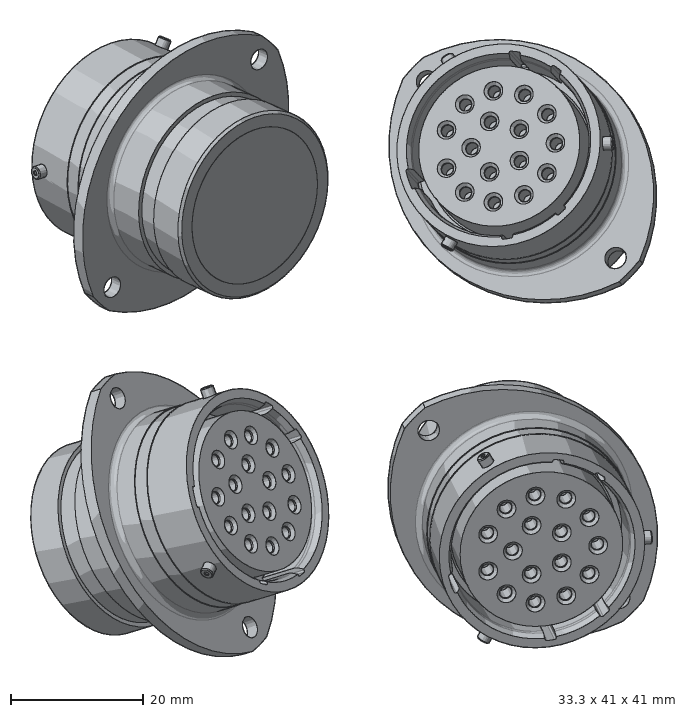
import cadquery as cq
import math


shell_length = 33.32
front_radius = 15.75
band_start = 8.15
band_end = 10.7
band_depth = 0.12
flange_start = 15.23
flange_thickness = 2.1
flange_end = flange_start + flange_thickness
front_fillet = 0.9
rear_radius = 14.95
rear_fillet = 0.75
rear_groove_start = 23.8
rear_groove_end = 27.3
rear_groove_depth = 0.65
rear_chamfer = 0.4

flange_half_height = 20.5
flange_arc_offset = 4.9
flange_arc_radius = flange_half_height + flange_arc_offset
flange_tip_radius = 23.8
mount_offset = 14.6
mount_hole_diameter = 3.3

mouth_radius = 14.3
lip_radius = 13.8
bore_radius = 13.7
mouth_taper_end = 1.03
lip_taper_end = 1.6
chamber_radius = 14.77
chamber_start = 8.2
chamber_length = 0.82
chamber_end = chamber_start + chamber_length
key_radius = 14.7
key_width = 1.72
main_key_width = 3.2
key_corner_radius = 0.3
key_angles = [100.0, 128.3, 228.0, 264.7]
main_key_angle = 341.9

insert_radius = 12.48
insert_front = 0.5
contact_radius = 0.95
contact_mouth_radius = 1.45
contact_land_depth = 0.82
contact_bore_radius = 1.0
contact_depth = 4.1
outer_count = 11
outer_circle = 8.7
outer_pitch = 32.0
outer_middle_angle = 180.0
inner_count = 5
inner_circle = 4.15
inner_center_y = 0.225

ring_inner_chamfer = 0.33
ring_outer_chamfer = 0.5

pin_count = 3
pin_x = 2.5
pin_radius = 1.03
pin_tip = 17.25
pin_embed = 0.6
pin_root = front_radius - pin_embed
pin_chamfer = 0.15
pin_first_angle = 180.0
pin_angles = [pin_first_angle + i * 360 / pin_count for i in range(pin_count)]
dimple_radius = 0.35
dimple_depth = 0.2


def polar(radius, angle):
    """Y and Z of a point at a radius and an angle in degrees."""
    return radius * math.cos(math.radians(angle)), radius * math.sin(math.radians(angle))


def cylinder(radius, start, end):
    """Cylinder along the connector axis between two X positions."""
    return cq.Workplane("YZ").workplane(offset=start).circle(radius).extrude(end - start)


def revolve_profile(profile):
    """Turn a closed XZ profile about the connector axis."""
    return profile.close().revolve(360, (0, 0, 0), (1, 0, 0))


def turned_body():
    """Solid outside of the shell, without its flange."""
    band_radius = front_radius - band_depth
    groove_radius = rear_radius - rear_groove_depth
    return revolve_profile(
        cq.Workplane("XZ")
        .moveTo(0, 0)
        .lineTo(0, front_radius)
        .lineTo(band_start, front_radius)
        .lineTo(band_start, band_radius)
        .lineTo(band_end, band_radius)
        .lineTo(band_end, front_radius)
        .lineTo(flange_start - front_fillet, front_radius)
        .radiusArc((flange_start, front_radius + front_fillet), -front_fillet)
        .lineTo(flange_end, front_radius + front_fillet)
        .lineTo(flange_end, rear_radius + rear_fillet)
        .radiusArc((flange_end + rear_fillet, rear_radius), -rear_fillet)
        .lineTo(rear_groove_start, rear_radius)
        .lineTo(rear_groove_start, groove_radius)
        .lineTo(rear_groove_end, groove_radius)
        .lineTo(rear_groove_end, rear_radius)
        .lineTo(shell_length - rear_chamfer, rear_radius)
        .lineTo(shell_length, rear_radius - rear_chamfer)
        .lineTo(shell_length, 0)
    )


def flange_plate():
    """Lens of two arcs with rounded tips and a mounting hole at each tip."""
    plate = cylinder(flange_tip_radius, flange_start, flange_end)
    for side in (1, -1):
        lens_side = cylinder(flange_arc_radius, flange_start, flange_end)
        offset = side * flange_arc_offset
        plate = plate.intersect(lens_side.translate((0, offset, -offset)))
    mounts = [(mount_offset, mount_offset), (-mount_offset, -mount_offset)]
    holes = (
        cq.Workplane("YZ")
        .workplane(offset=flange_start)
        .pushPoints(mounts)
        .circle(mount_hole_diameter / 2)
        .extrude(flange_thickness)
    )
    return plate.cut(holes)


def shell_cavity():
    """Mouth with two tapers, bore, ring chamber and the narrower bore for the insert."""
    return revolve_profile(
        cq.Workplane("XZ")
        .moveTo(0, 0)
        .lineTo(0, mouth_radius)
        .lineTo(mouth_taper_end, lip_radius)
        .lineTo(lip_taper_end, bore_radius)
        .lineTo(chamber_start, bore_radius)
        .lineTo(chamber_start, chamber_radius)
        .lineTo(chamber_end, chamber_radius)
        .lineTo(chamber_end, insert_radius)
        .lineTo(shell_length, insert_radius)
        .lineTo(shell_length, 0)
    )


def keyway(angle, width):
    """Slot along the bore wall, ending at the ring chamber, with rounded floor corners."""
    slot = cq.Workplane("XY").box(chamber_start, key_radius, width, centered=(False, False, True))
    slot = slot.intersect(cylinder(key_radius, 0, chamber_start))
    slot = slot.edges("|X and (>Z or <Z)").edges(">Y").fillet(key_corner_radius)
    return slot.rotate((0, 0, 0), (1, 0, 0), angle)


def pin_blank(tip):
    """Plain pin cylinder pointing along +Y, from its root to the given tip."""
    return (
        cq.Workplane("XZ", origin=(pin_x, pin_root, 0))
        .circle(pin_radius)
        .extrude(-(tip - pin_root))
    )


def make_shell():
    shell = turned_body().union(flange_plate()).cut(shell_cavity())
    for angle in key_angles:
        shell = shell.cut(keyway(angle, key_width))
    shell = shell.cut(keyway(main_key_angle, main_key_width))
    for angle in pin_angles:
        shell = shell.cut(pin_blank(pin_tip).rotate((0, 0, 0), (1, 0, 0), angle))
    return shell


def contact_points():
    """Y, Z of every contact cavity: an open outer arc and an inner pentagon."""
    points = []
    for i in range(outer_count):
        steps = i - (outer_count - 1) / 2
        points.append(polar(outer_circle, outer_middle_angle + steps * outer_pitch))
    for i in range(inner_count):
        y, z = polar(inner_circle, i * 360 / inner_count)
        points.append((y + inner_center_y, z))
    return points


def make_contact_hole():
    """Cutter at the axis: countersink, narrow land and a slightly wider blind bore."""
    sink_end = insert_front + contact_mouth_radius - contact_radius
    land_end = insert_front + contact_land_depth
    return revolve_profile(
        cq.Workplane("XZ")
        .moveTo(insert_front, 0)
        .lineTo(insert_front, contact_mouth_radius)
        .lineTo(sink_end, contact_radius)
        .lineTo(land_end, contact_radius)
        .lineTo(land_end, contact_bore_radius)
        .lineTo(insert_front + contact_depth, contact_bore_radius)
        .lineTo(insert_front + contact_depth, 0)
    )


def make_insert():
    """Insert standing in the mouth and filling the bore behind it, with blind contact holes."""
    insert = cylinder(insert_radius, insert_front, shell_length)
    hole = make_contact_hole()
    for y, z in contact_points():
        insert = insert.cut(hole.translate((0, y, z)))
    return insert


def make_seal_ring():
    """Ring filling the chamber around the insert, chamfered on both front edges."""
    return revolve_profile(
        cq.Workplane("XZ")
        .moveTo(chamber_end, insert_radius)
        .lineTo(chamber_start + ring_inner_chamfer, insert_radius)
        .lineTo(chamber_start, insert_radius + ring_inner_chamfer)
        .lineTo(chamber_start, chamber_radius - ring_outer_chamfer)
        .lineTo(chamber_start + ring_outer_chamfer, chamber_radius)
        .lineTo(chamber_end, chamber_radius)
    )


def make_pin(angle):
    """Bayonet pin with a chamfered tip and a small dimple in its end."""
    pin = pin_blank(pin_tip).faces(">Y").edges().chamfer(pin_chamfer)
    dimple = (
        cq.Workplane("XZ", origin=(pin_x, pin_tip, 0))
        .circle(dimple_radius)
        .extrude(dimple_depth)
    )
    return pin.cut(dimple).rotate((0, 0, 0), (1, 0, 0), angle)


shell = make_shell()
insert = make_insert()
seal_ring = make_seal_ring()
pins = [make_pin(angle) for angle in pin_angles]

result = cq.Compound.makeCompound(
    [
        shell.val(),
        insert.val(),
        seal_ring.val(),
        *[pin.val() for pin in pins],
    ]
)